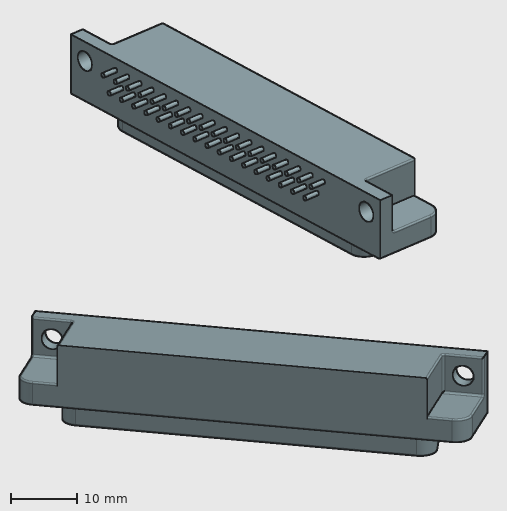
import cadquery as cq
import math

body_length = 70.1
body_depth = 12.7
body_height = 10.15
back_corner_radius = 2.5
edge_radius = 0.3

recess_length = 6.4
wall_thickness = 2.6
foot_height = 3.85
recess_corner_radius = 0.35

shell_width = 58.05
shell_depth = 8.0
shell_height = 3.8
shell_front_offset = 2.25
shell_corner_radius = 2.6
shell_edge_radius = 0.35
shell_side_angle = math.radians(10)

mounting_hole_diameter = 3.2
mounting_hole_spacing = 63.7
pin_diameter = 0.8
pin_length = 2.5
pin_pitch = 2.77
pin_row_spacing = 2.5
pin_pattern_shift = -pin_pitch / 2
upper_pin_count = 18
lower_pin_count = upper_pin_count - 1
pin_center_drop = 3.3
pin_center_height = body_height - pin_center_drop


def make_left_recess():
    """Cutter for the left recess, rounded where the wall meets the foot and the block."""
    depth = body_depth - wall_thickness
    height = body_height - foot_height
    return (
        cq.Workplane("XY")
        .box(recess_length, depth, height, centered=False)
        .edges("<Y and (<Z or >X)")
        .fillet(recess_corner_radius)
        .translate((-body_length / 2, wall_thickness, foot_height))
    )


def make_body():
    """Block with rounded back corners, a rounded lower rim and a recess cut into each end."""
    body = (
        cq.Workplane("XY")
        .box(body_length, body_depth, body_height, centered=(True, False, False))
        .edges("|Z and >Y")
        .fillet(back_corner_radius)
        .faces("<Z")
        .edges("not(<Y)")
        .fillet(edge_radius)
    )
    left_recess = make_left_recess()
    return body.cut(left_recess).cut(left_recess.mirror("YZ"))


def round_recess_rims(body):
    """Round the recess rims; each seed edge carries its whole chain of tangent edges."""
    recess_middle = (wall_thickness + body_depth) / 2
    seeds = []
    for side in (-1, 1):
        block_end = (side * (body_length / 2 - recess_length), recess_middle, body_height)
        foot_end = (side * body_length / 2, recess_middle, foot_height)
        for seed_point in (block_end, foot_end):
            seeds.append(body.edges(cq.NearestToPointSelector(seed_point)).val())
    return body.newObject(seeds).fillet(edge_radius)


def make_shell():
    """Trapezoid with rounded corners, wider at the back."""
    front = shell_front_offset
    back = front + shell_depth
    slope = math.tan(shell_side_angle)
    arc_overhang = shell_corner_radius * (1 / math.cos(shell_side_angle) - 1)
    half_at_arc = shell_width / 2 + arc_overhang
    half_back = half_at_arc + shell_corner_radius * slope
    half_front = half_back - shell_depth * slope
    return (
        cq.Workplane("XY")
        .polyline([(-half_front, front), (half_front, front), (half_back, back), (-half_back, back)])
        .close()
        .extrude(-shell_height)
        .edges("|Z")
        .fillet(shell_corner_radius)
        .faces("<Z")
        .edges()
        .fillet(shell_edge_radius)
    )


def make_pin_row(count, height):
    """Row of pins standing out of the front face."""
    return (
        cq.Workplane("XZ", origin=(pin_pattern_shift, 0, height))
        .rarray(pin_pitch, 0.7, count, 1)
        .circle(pin_diameter / 2)
        .extrude(pin_length)
    )


def make_mounting_holes():
    """Cutters for the hole through each mounting wall."""
    return (
        cq.Workplane("XZ", origin=(0, 0, pin_center_height))
        .rarray(mounting_hole_spacing, 0.7, 2, 1)
        .circle(mounting_hole_diameter / 2)
        .extrude(-wall_thickness)
    )


def make_pins():
    """Two staggered rows of pins."""
    upper_row = make_pin_row(upper_pin_count, pin_center_height + pin_row_spacing / 2)
    lower_row = make_pin_row(lower_pin_count, pin_center_height - pin_row_spacing / 2)
    return upper_row.union(lower_row)


body = round_recess_rims(make_body()).cut(make_mounting_holes())
result = body.union(make_shell()).union(make_pins())